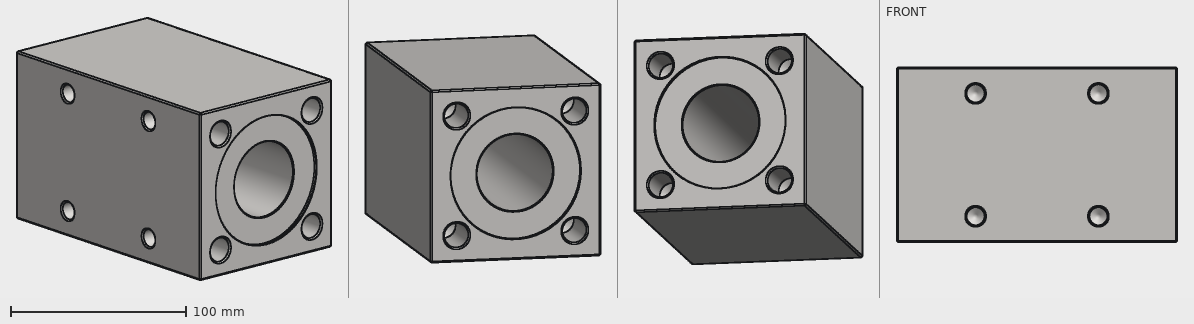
import cadquery as cq
import math

length = 160.0
side = 100.0
edge_chamfer = 1.0

bore_diameter = 44.5
bore_mouth_diameter = 45.6
recess_diameter = 76.2
recess_mouth_diameter = 76.8
recess_depth = 2.0

end_hole_diameter = 14.0
end_hole_mouth_diameter = 16.0
end_hole_pitch = 69.3
end_hole_depth = 32.0

side_hole_diameter = 10.2
side_hole_mouth_diameter = 12.0
side_hole_pitch = 70.0
side_hole_depth = 24.0

drill_point_angle = 118.0


def mouth_cone(origin, direction, mouth_diameter, diameter):
    """45 degree countersink from the mouth down to the hole diameter."""
    depth = (mouth_diameter - diameter) / 2
    return cq.Workplane(cq.Solid.makeCone(mouth_diameter / 2, diameter / 2, depth, origin, direction))


def blind_hole(origin, direction, diameter, mouth_diameter, depth):
    """Drilled hole with a countersunk mouth and a conical bottom."""
    radius = diameter / 2
    point_depth = radius / math.tan(math.radians(drill_point_angle / 2))
    bottom = origin + direction * depth
    drill = cq.Workplane(cq.Solid.makeCylinder(radius, depth, origin, direction))
    point = cq.Workplane(cq.Solid.makeCone(radius, 0, point_depth, bottom, direction))
    return drill.union(point).union(mouth_cone(origin, direction, mouth_diameter, diameter))


def square_pattern(pitch):
    """Four positions at the corners of a centred square."""
    half = pitch / 2
    return [(u, v) for u in (-half, half) for v in (-half, half)]


result = cq.Workplane("XY").box(length, side, side).edges().chamfer(edge_chamfer)

result = result.cut(cq.Workplane("YZ").circle(bore_diameter / 2).extrude(length / 2, both=True))

for end in (-1, 1):
    inward = cq.Vector(-end, 0, 0)
    face_center = cq.Vector(end * length / 2, 0, 0)
    recess_floor = face_center + inward * recess_depth
    recess = cq.Solid.makeCylinder(recess_diameter / 2, recess_depth, face_center, inward)
    result = result.cut(cq.Workplane(recess))
    result = result.cut(mouth_cone(face_center, inward, recess_mouth_diameter, recess_diameter))
    result = result.cut(mouth_cone(recess_floor, inward, bore_mouth_diameter, bore_diameter))
    for y, z in square_pattern(end_hole_pitch):
        origin = cq.Vector(face_center.x, y, z)
        result = result.cut(
            blind_hole(origin, inward, end_hole_diameter, end_hole_mouth_diameter, end_hole_depth)
        )

for x, z in square_pattern(side_hole_pitch):
    origin = cq.Vector(x, -side / 2, z)
    result = result.cut(
        blind_hole(origin, cq.Vector(0, 1, 0), side_hole_diameter, side_hole_mouth_diameter, side_hole_depth)
    )